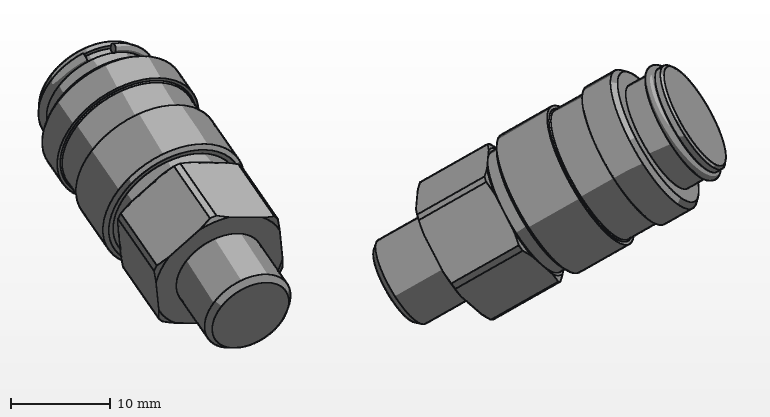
import cadquery as cq
import math

TOTAL_LENGTH = 36.0
GROOVE_START = 0.9
GROOVE_END = 1.98
SLEEVE_START = 4.43
BAND_START = 8.4
BAND_END = 12.6
SLEEVE_END = 19.0
HEX_START = 20.4
HEX_END = 28.98

NOSE_DIAMETER = 12.0
GROOVE_DIAMETER = 11.15
SLEEVE_DIAMETER = 16.0
BAND_DIAMETER = 15.0
NECK_DIAMETER = 14.0
SPIGOT_DIAMETER = 9.72

NOSE_BEVEL = (0.25, 0.3)
SLEEVE_FRONT_BEVEL = (0.55, 0.5)
SLEEVE_REAR_BEVEL = (0.32, 0.5)
SPIGOT_BEVEL = (0.65, 0.55)
BAND_ROOT_BEVEL = 0.15

HEX_ACROSS_FLATS = 14.0
HEX_CORNER_DIAMETER = 15.75
HEX_END_DIAMETER = 14.6
HEX_BEVEL_LENGTH = 0.2
HEX_TURN = 4.3

WIRE_DIAMETER = 1.0
RING_GAP_LEFT = 17.2
RING_GAP_RIGHT = 12.8


def revolve_about_x(profile):
    """Revolve a closed outline of (x, radius) points about the X axis."""
    return cq.Workplane("XY").polyline(profile).close().revolve(360, (0, 0, 0), (1, 0, 0))


def make_turned_core():
    """The stepped round body: nose, groove, sleeve, lettering band, neck and spigot."""
    nose = NOSE_DIAMETER / 2
    groove = GROOVE_DIAMETER / 2
    sleeve = SLEEVE_DIAMETER / 2
    band = BAND_DIAMETER / 2
    neck = NECK_DIAMETER / 2
    spigot = SPIGOT_DIAMETER / 2
    profile = [
        (0, 0),
        (0, nose - NOSE_BEVEL[1]),
        (NOSE_BEVEL[0], nose),
        (GROOVE_START, nose),
        (GROOVE_START, groove),
        (GROOVE_END, groove),
        (GROOVE_END, nose),
        (SLEEVE_START, nose),
        (SLEEVE_START, sleeve - SLEEVE_FRONT_BEVEL[1]),
        (SLEEVE_START + SLEEVE_FRONT_BEVEL[0], sleeve),
        (BAND_START, sleeve),
        (BAND_START, band + BAND_ROOT_BEVEL),
        (BAND_START + BAND_ROOT_BEVEL, band),
        (BAND_END - BAND_ROOT_BEVEL, band),
        (BAND_END, band + BAND_ROOT_BEVEL),
        (BAND_END, sleeve),
        (SLEEVE_END - SLEEVE_REAR_BEVEL[0], sleeve),
        (SLEEVE_END, sleeve - SLEEVE_REAR_BEVEL[1]),
        (SLEEVE_END, neck),
        (HEX_START, neck),
        (HEX_START, spigot),
        (TOTAL_LENGTH - SPIGOT_BEVEL[0], spigot),
        (TOTAL_LENGTH, spigot - SPIGOT_BEVEL[1]),
        (TOTAL_LENGTH, 0),
    ]
    return revolve_about_x(profile)


def make_hexagon():
    """The wrench hexagon, with rounded corners and conically bevelled ends."""
    sharp_diameter = HEX_ACROSS_FLATS / math.cos(math.radians(30))
    prism = (
        cq.Workplane("YZ", origin=(HEX_START, 0, 0))
        .polygon(6, sharp_diameter)
        .extrude(HEX_END - HEX_START)
        .rotate((0, 0, 0), (1, 0, 0), 30 + HEX_TURN)
    )
    corner = HEX_CORNER_DIAMETER / 2
    end = HEX_END_DIAMETER / 2
    envelope = revolve_about_x([
        (HEX_START, 0),
        (HEX_START, end),
        (HEX_START + HEX_BEVEL_LENGTH, corner),
        (HEX_END - HEX_BEVEL_LENGTH, corner),
        (HEX_END, end),
        (HEX_END, 0),
    ])
    return prism.intersect(envelope)


def make_coupling():
    return make_turned_core().union(make_hexagon())


def make_snap_ring():
    """A split ring of round wire seated on the floor of the nose groove, open at the top."""
    wire_radius = WIRE_DIAMETER / 2
    ring_radius = GROOVE_DIAMETER / 2 + wire_radius
    ring_center_x = (GROOVE_START + GROOVE_END) / 2
    sweep_angle = 360 - RING_GAP_LEFT - RING_GAP_RIGHT
    return (
        cq.Workplane("XZ")
        .center(ring_center_x, ring_radius)
        .circle(wire_radius)
        .revolve(sweep_angle, (0, -ring_radius), (1, -ring_radius))
        .rotate((0, 0, 0), (1, 0, 0), RING_GAP_RIGHT)
    )


coupling = make_coupling()
snap_ring = make_snap_ring()

result = cq.Compound.makeCompound([coupling.val(), snap_ring.val()])